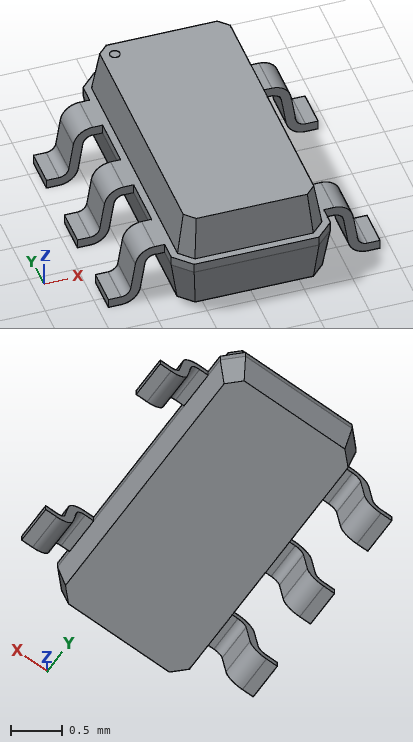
import cadquery as cq
import math


body_length = 3.05
body_width = 1.64
total_height = 1.1
standoff = 0.1
band_height = 0.1
ledge = 0.075
draft_angle = 9.0
band_chamfer = 0.177
base_chamfer = 0.14
lid_foot_chamfer = 0.135
lid_top_chamfer = 0.1

lead_span = 2.8
lead_thickness = band_height
lead_width = 0.4
lead_pitch = 0.95
lead_slope = 9.0
inner_radius = 0.1
foot_flat = 0.13
lead_root = 0.305

mark_radius = 0.052
mark_x = -0.535
mark_y = 1.225
mark_depth = 0.003

shell_height = (total_height - standoff - band_height) / 2
band_bottom = standoff + shell_height
band_top = band_bottom + band_height
draft = shell_height * math.tan(math.radians(draft_angle))
outer_radius = inner_radius + lead_thickness


def octagon(plane, inset, chamfer):
    """Body outline moved inward by `inset`, with its corners cut by legs of `chamfer`."""
    x = body_width / 2 - inset
    y = body_length / 2 - inset
    return plane.polyline([
        (x, chamfer - y), (x, y - chamfer),
        (x - chamfer, y), (chamfer - x, y),
        (-x, y - chamfer), (-x, chamfer - y),
        (chamfer - x, -y), (x - chamfer, -y),
    ]).close()


def tapered_shell(bottom_z, bottom_inset, bottom_chamfer, top_inset, top_chamfer):
    """Half of the moulded body, blended between two outlines."""
    outline = octagon(cq.Workplane("XY", origin=(0, 0, bottom_z)), bottom_inset, bottom_chamfer)
    outline = octagon(outline.workplane(offset=shell_height), top_inset, top_chamfer)
    return outline.loft(ruled=True)


def make_body():
    base = tapered_shell(standoff, draft, base_chamfer, 0, band_chamfer)
    band = octagon(cq.Workplane("XY", origin=(0, 0, band_bottom)), 0, band_chamfer).extrude(band_height)
    lid = tapered_shell(band_top, ledge, lid_foot_chamfer, ledge + draft, lid_top_chamfer)
    mark = (
        cq.Workplane("XY", origin=(mark_x, mark_y, total_height))
        .circle(mark_radius)
        .extrude(-mark_depth)
    )
    return base.union(band).union(lid).cut(mark)


def bend_point(center, radius, angle):
    """Point on a bend, with the angle in degrees from +X."""
    turn = math.radians(angle)
    return (center[0] + radius * math.cos(turn), center[1] + radius * math.sin(turn))


def make_lead():
    """Gull-wing lead on the +X side, centred on Y = 0."""
    tip = lead_span / 2
    lower = (tip - foot_flat, outer_radius)
    center_rise = band_bottom - inner_radius - lower[1]
    slope = math.radians(lead_slope)
    center_gap = (outer_radius + inner_radius + center_rise * math.sin(slope)) / math.cos(slope)
    upper = (lower[0] - center_gap, lower[1] + center_rise)

    upper_mid = (90 + lead_slope) / 2
    lower_mid = upper_mid + 180
    lower_end = lead_slope + 180
    root = body_width / 2 - lead_root
    profile = (
        cq.Workplane("XZ", origin=(0, lead_width / 2, 0))
        .moveTo(root, band_top)
        .lineTo(upper[0], band_top)
        .threePointArc(bend_point(upper, outer_radius, upper_mid), bend_point(upper, outer_radius, lead_slope))
        .lineTo(*bend_point(lower, inner_radius, lower_end))
        .threePointArc(bend_point(lower, inner_radius, lower_mid), (lower[0], lead_thickness))
        .lineTo(tip, lead_thickness)
        .lineTo(tip, 0)
        .lineTo(lower[0], 0)
        .threePointArc(bend_point(lower, outer_radius, lower_mid), bend_point(lower, outer_radius, lower_end))
        .lineTo(*bend_point(upper, inner_radius, lead_slope))
        .threePointArc(bend_point(upper, inner_radius, upper_mid), (upper[0], band_bottom))
        .lineTo(root, band_bottom)
        .close()
    )
    return profile.extrude(lead_width)


right_lead = make_lead()
left_lead = right_lead.mirror("YZ")

result = make_body()
for row in (-1, 0, 1):
    result = result.union(left_lead.translate((0, row * lead_pitch, 0)))
for row in (-1, 1):
    result = result.union(right_lead.translate((0, row * lead_pitch, 0)))